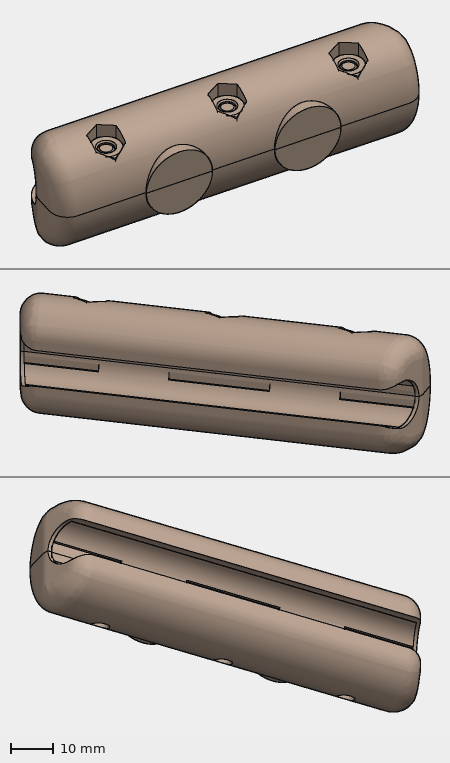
import cadquery as cq
import math

LENGTH = 100.0
HEIGHT = 29.0
BACK_RADIUS = 18.0
CROWN_RADIUS = 11.0
LIP_RADIUS = 5.6
MOUTH_X = -3.7
CHANNEL_RADIUS = 5.9

FOLD_X = 7.1
SLOPE_ANGLE = 20.0
FOLD_FILLET = 5.0
END_FILLET = 5.0

RECESS_RADIUS = 6.0
RECESS_END_MARGIN = 1.0
POCKET_HALF_WIDTH = 2.8
POCKET_FLOOR_X = 5.9
POCKET_LENGTH = 25.0
END_POCKET_Y = 42.5

PAD_RADIUS = 9.0
PAD_SPACING = 35.0
PAD_FACE_X = 18.3

SCREW_X = 10.3
SCREW_SPACING = 33.0
SCREW_RADIUS = 2.1
SCREW_TIP_Z = 10.6
SCREW_CHAMFER = 0.5
NUT_FLATS = 8.0
NUT_CORNERS = NUT_FLATS / math.cos(math.pi / 6)
NUT_HEIGHT = 4.0
NUT_TOP_Z = 11.0
NUT_BASE_Z = NUT_TOP_Z - NUT_HEIGHT
NUT_CORNER_DROP = 0.4
NUT_HOLE_CHAMFER = 0.4

screw_places = [(SCREW_X, row * SCREW_SPACING) for row in (-1, 0, 1)]


def grip_section():
    """Outline in XZ: back arc, two crown arcs, two lip arcs and the flat mouth face, all tangent."""
    crown_z = HEIGHT / 2 - CROWN_RADIUS
    crown_x = math.sqrt((BACK_RADIUS - CROWN_RADIUS) ** 2 - crown_z**2)
    lip_x = MOUTH_X + LIP_RADIUS
    lip_z = crown_z + math.sqrt((CROWN_RADIUS - LIP_RADIUS) ** 2 - (crown_x - lip_x) ** 2)
    back_angle = math.atan2(crown_z, crown_x)
    lip_angle = math.atan2(lip_z - crown_z, lip_x - crown_x)
    crown_angle = (back_angle + lip_angle) / 2
    lip_middle_angle = (lip_angle + math.pi) / 2

    def on_arc(x, z, radius, angle):
        return (x + radius * math.cos(angle), z + radius * math.sin(angle))

    back_end = on_arc(0, 0, BACK_RADIUS, back_angle)
    crown_middle = on_arc(crown_x, crown_z, CROWN_RADIUS, crown_angle)
    crown_end = on_arc(lip_x, lip_z, LIP_RADIUS, lip_angle)
    lip_middle = on_arc(lip_x, lip_z, LIP_RADIUS, lip_middle_angle)
    lip_end = (MOUTH_X, lip_z)

    def below(point):
        return (point[0], -point[1])

    return (
        cq.Workplane("XZ", origin=(0, LENGTH / 2, 0))
        .moveTo(*below(back_end))
        .threePointArc((BACK_RADIUS, 0), back_end)
        .threePointArc(crown_middle, crown_end)
        .threePointArc(lip_middle, lip_end)
        .lineTo(*below(lip_end))
        .threePointArc(below(lip_middle), below(crown_end))
        .threePointArc(below(crown_middle), below(back_end))
        .close()
    )


def end_plan(half_length, front_x):
    """Prism over XY behind front_x: square ends at the back that slope down towards the mouth."""
    front_half_length = half_length - (FOLD_X - front_x) * math.tan(math.radians(SLOPE_ANGLE))
    prism = (
        cq.Workplane("XY", origin=(0, 0, -HEIGHT))
        .polyline([
            (front_x, -front_half_length),
            (FOLD_X, -half_length),
            (HEIGHT, -half_length),
            (HEIGHT, half_length),
            (FOLD_X, half_length),
            (front_x, front_half_length),
        ])
        .close()
        .extrude(2 * HEIGHT)
    )
    fold_zone = cq.selectors.BoxSelector((FOLD_X - 1, -LENGTH, -HEIGHT), (FOLD_X + 1, LENGTH, HEIGHT))
    return prism.edges("|Z").edges(fold_zone).fillet(FOLD_FILLET)


def half_space(plane):
    """Block that fills everything on the positive side of a plane through the origin."""
    return cq.Workplane(plane).rect(2 * LENGTH, 2 * LENGTH).extrude(LENGTH)


def grip_blank():
    """Solid grip with rounded ends, without the channel and the fastener holes."""
    blank = grip_section().extrude(LENGTH).intersect(end_plan(LENGTH / 2, MOUTH_X))
    rounded = blank.faces("<Y").edges("not |Z").fillet(END_FILLET)
    near_half = rounded.intersect(half_space("XZ"))
    return near_half.union(near_half.mirror("XZ"), clean=True)


def back_pads():
    pads = cq.Workplane("YZ").pushPoints([(-PAD_SPACING / 2, 0), (PAD_SPACING / 2, 0)])
    return pads.circle(PAD_RADIUS).extrude(PAD_FACE_X)


def bar_cylinder(radius):
    return cq.Workplane("XZ", origin=(0, LENGTH / 2, 0)).circle(radius).extrude(LENGTH)


def channel_recess():
    """Back half of a wider cylinder plus three pockets, kept clear of the sloped ends."""
    pockets = (
        cq.Workplane("XY")
        .pushPoints([(0, 0), (0, END_POCKET_Y), (0, -END_POCKET_Y)])
        .box(2 * POCKET_FLOOR_X, POCKET_LENGTH, 2 * POCKET_HALF_WIDTH)
    )
    return bar_cylinder(RECESS_RADIUS).union(pockets).intersect(
        end_plan(LENGTH / 2 - RECESS_END_MARGIN, 0))


def screw_holes():
    holes = cq.Workplane("XY", origin=(0, 0, -HEIGHT)).pushPoints(screw_places)
    return holes.circle(SCREW_RADIUS).extrude(2 * HEIGHT)


def nut_pockets():
    return (
        cq.Workplane("XY", origin=(0, 0, NUT_BASE_Z))
        .pushPoints(screw_places)
        .polygon(6, NUT_CORNERS)
        .extrude(HEIGHT)
    )


def make_screw(place):
    """Plain shank through both halves with a chamfered tip inside the nut."""
    return (
        cq.Workplane("XY", origin=(*place, -SCREW_TIP_Z))
        .circle(SCREW_RADIUS)
        .extrude(2 * SCREW_TIP_Z)
        .faces(">Z")
        .chamfer(SCREW_CHAMFER)
    )


def make_nut(place):
    """Hexagon nut with a chamfered hole and corners turned off at the top."""
    nut = cq.Workplane("XY", origin=(*place, NUT_BASE_Z)).polygon(6, NUT_CORNERS).extrude(NUT_HEIGHT)
    turned = (
        cq.Workplane("XY", origin=(*place, NUT_BASE_Z))
        .circle(NUT_CORNERS / 2)
        .extrude(NUT_HEIGHT)
        .faces(">Z")
        .chamfer(NUT_CORNER_DROP, (NUT_CORNERS - NUT_FLATS) / 2)
    )
    nut = nut.intersect(turned)
    return nut.faces(">Z").workplane(origin=(*place, 0)).cskHole(
        2 * SCREW_RADIUS, 2 * (SCREW_RADIUS + NUT_HOLE_CHAMFER), 90)


grip = grip_blank().union(back_pads())
handle = grip.cut(bar_cylinder(CHANNEL_RADIUS)).cut(channel_recess()).cut(screw_holes())
upper_half = handle.intersect(half_space("XY")).cut(nut_pockets())
lower_half = handle.cut(half_space("XY"))
screws = [make_screw(place) for place in screw_places]
nuts = [make_nut(place) for place in screw_places]

fasteners = [body.val() for body in screws + nuts]
result = cq.Compound.makeCompound([upper_half.val(), lower_half.val(), *fasteners])